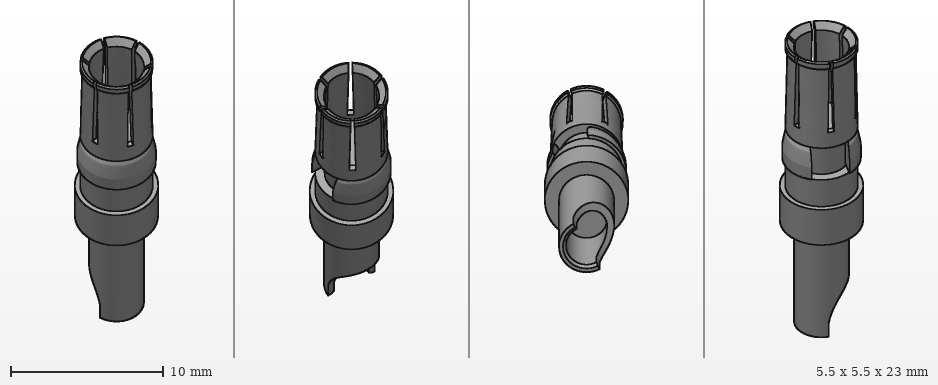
import cadquery as cq

TOTAL_HEIGHT = 23.0
FLANGE_BOTTOM = 8.3
FLANGE_TOP = 11.2
SHOULDER_TOP = 13.4
SOCKET_BOTTOM = 16.0

TAIL_RADIUS = 3.63 / 2
FLANGE_RADIUS = 5.5 / 2
SHOULDER_RADIUS = 4.8 / 2
NECK_RADIUS = 3.56 / 2

CLIP_BOTTOM_GAP = 0.1
CLIP_RADIUS = 2.6
CLIP_STRAIGHT_HEIGHT = 0.97
CLIP_CROWN_HEIGHT = 1.09
CLIP_CROWN_TOP_RADIUS = 2.38
CLIP_LIP_HEIGHT = 0.18
CLIP_LIP_RADIUS = 2.22
CLIP_TOP_RADIUS = 2.1
CLIP_CROWN_BULGE = 0.02
CLIP_OPENING = 2.58

SOCKET_BASE_RADIUS = 2.39
SOCKET_NECK_RADIUS = 2.26
COLLAR_RADIUS = 4.8 / 2
COLLAR_HEIGHT = 0.5
RIM_SLOPE = 0.1
MOUTH_RADIUS = 3.63 / 2
MOUTH_CHAMFER = 0.45
BORE_FLOOR_RADIUS = 2.0
BORE_DEPTH = 6.5

SLOT_COUNT = 6
SLOT_DEPTH = 5.76
SLOT_TOP_WIDTH = 0.23
SLOT_BOTTOM_WIDTH = 0.42

CUP_RADIUS = 2.7 / 2
CUP_DEPTH = 5.0
CUP_CHAMFER = 0.2
SCOOP_ARC_RADIUS = 4.0
SCOOP_STRAIGHT_HEIGHT = 1.16
SCOOP_TOP = 3.92


def cylinder(radius, bottom, top):
    return cq.Workplane("XY").workplane(offset=bottom).circle(radius).extrude(top - bottom)


def revolved(outline):
    """Turn a closed (radius, height) outline about the Z axis."""
    return outline.close().revolve(360, (0, 0, 0), (0, 1, 0))


def make_core():
    core = cylinder(TAIL_RADIUS, 0, FLANGE_BOTTOM)
    core = core.union(cylinder(FLANGE_RADIUS, FLANGE_BOTTOM, FLANGE_TOP))
    core = core.union(cylinder(SHOULDER_RADIUS, FLANGE_TOP, SHOULDER_TOP))
    return core.union(cylinder(NECK_RADIUS, SHOULDER_TOP, SOCKET_BOTTOM))


def make_clip():
    bottom = SHOULDER_TOP + CLIP_BOTTOM_GAP
    crown_bottom = bottom + CLIP_STRAIGHT_HEIGHT
    crown_top = crown_bottom + CLIP_CROWN_HEIGHT
    crown_middle = (
        (CLIP_RADIUS + CLIP_CROWN_TOP_RADIUS) / 2 + CLIP_CROWN_BULGE,
        (crown_bottom + crown_top) / 2,
    )
    ring = revolved(
        cq.Workplane("XZ")
        .moveTo(NECK_RADIUS, bottom)
        .lineTo(CLIP_RADIUS, bottom)
        .lineTo(CLIP_RADIUS, crown_bottom)
        .threePointArc(crown_middle, (CLIP_CROWN_TOP_RADIUS, crown_top))
        .lineTo(CLIP_LIP_RADIUS, SOCKET_BOTTOM - CLIP_LIP_HEIGHT)
        .lineTo(CLIP_TOP_RADIUS, SOCKET_BOTTOM)
        .lineTo(NECK_RADIUS, SOCKET_BOTTOM)
    )
    opening = cq.Workplane("XY").box(
        CLIP_OPENING, CLIP_RADIUS, TOTAL_HEIGHT, centered=(True, False, False)
    )
    return ring.cut(opening)


def make_slots():
    """Wedge slots, wider at the bottom, each reaching from the axis outward."""
    slot_bottom = TOTAL_HEIGHT - SLOT_DEPTH
    wedge = (
        cq.Workplane("XZ")
        .moveTo(-SLOT_BOTTOM_WIDTH / 2, slot_bottom)
        .lineTo(SLOT_BOTTOM_WIDTH / 2, slot_bottom)
        .lineTo(SLOT_TOP_WIDTH / 2, TOTAL_HEIGHT)
        .lineTo(-SLOT_TOP_WIDTH / 2, TOTAL_HEIGHT)
        .close()
        .extrude(FLANGE_RADIUS)
    )
    slots = wedge
    for index in range(1, SLOT_COUNT):
        angle = index * 360 / SLOT_COUNT
        slots = slots.union(wedge.rotate((0, 0, 0), (0, 0, 1), angle))
    return slots


def make_socket():
    collar_bottom = TOTAL_HEIGHT - COLLAR_HEIGHT
    collar_chamfer = COLLAR_RADIUS - SOCKET_NECK_RADIUS
    bore_floor = TOTAL_HEIGHT - BORE_DEPTH
    sleeve = revolved(
        cq.Workplane("XZ")
        .moveTo(0, SOCKET_BOTTOM)
        .lineTo(SOCKET_BASE_RADIUS, SOCKET_BOTTOM)
        .lineTo(SOCKET_NECK_RADIUS, collar_bottom - collar_chamfer)
        .lineTo(COLLAR_RADIUS, collar_bottom)
        .lineTo(COLLAR_RADIUS, TOTAL_HEIGHT - RIM_SLOPE)
        .lineTo(MOUTH_RADIUS + MOUTH_CHAMFER, TOTAL_HEIGHT)
        .lineTo(MOUTH_RADIUS, TOTAL_HEIGHT - MOUTH_CHAMFER)
        .lineTo(BORE_FLOOR_RADIUS, bore_floor)
        .lineTo(0, bore_floor)
    )
    return sleeve.cut(make_slots())


def make_solder_cup():
    """Bore with a chamfered mouth in the bottom end of the tail."""
    return revolved(
        cq.Workplane("XZ")
        .lineTo(CUP_RADIUS + CUP_CHAMFER, 0)
        .lineTo(CUP_RADIUS, CUP_CHAMFER)
        .lineTo(CUP_RADIUS, CUP_DEPTH)
        .lineTo(0, CUP_DEPTH)
    )


def make_scoop():
    """Cut that opens the -X half of the cup and runs out along an arc."""
    return (
        cq.Workplane("XZ")
        .lineTo(0, SCOOP_STRAIGHT_HEIGHT)
        .radiusArc((-TAIL_RADIUS, SCOOP_TOP), -SCOOP_ARC_RADIUS)
        .lineTo(-FLANGE_RADIUS, SCOOP_TOP)
        .lineTo(-FLANGE_RADIUS, 0)
        .close()
        .extrude(FLANGE_RADIUS, both=True)
    )


result = (
    make_core()
    .union(make_clip())
    .union(make_socket())
    .cut(make_solder_cup())
    .cut(make_scoop())
)